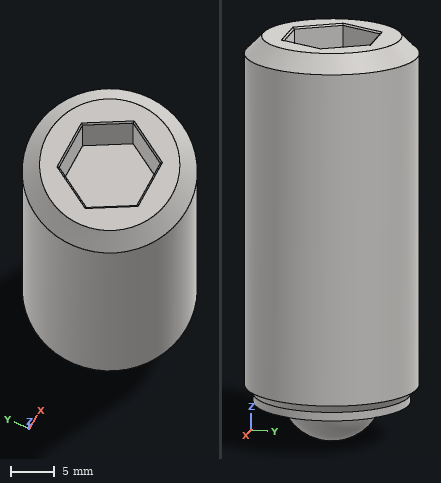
import cadquery as cq
import math


body_diameter = 20.0
body_radius = body_diameter / 2
top_chamfer = 2.0

collar_diameter = 18.0
collar_radius = collar_diameter / 2
collar_height = 1.0

bottom_chamfer = body_radius - collar_radius

ball_diameter = 12.0
ball_radius = ball_diameter / 2
ball_protrusion = 4.5
ball_center_z = ball_radius - ball_protrusion

overall_length = 47.5
top_z = overall_length - ball_protrusion

socket_sides = 6
socket_across_flats = 10.0
socket_depth = 7.0
socket_chamfer = 0.2


def corner_to_corner(across_flats):
    """Corner-to-corner size of the socket hexagon."""
    return across_flats / math.cos(math.pi / socket_sides)


def make_body():
    """Turned body with a chamfer at each end and a collar at the ball end."""
    profile = (
        cq.Workplane("XZ")
        .moveTo(0, 0)
        .lineTo(collar_radius, 0)
        .lineTo(collar_radius, collar_height)
        .lineTo(body_radius, collar_height + bottom_chamfer)
        .lineTo(body_radius, top_z - top_chamfer)
        .lineTo(body_radius - top_chamfer, top_z)
        .lineTo(0, top_z)
        .close()
    )
    return profile.revolve(360, (0, 0, 0), (0, 1, 0))


def make_ball():
    """Ball held in the body, standing out below the collar."""
    return cq.Workplane("XY").sphere(ball_radius).translate((0, 0, ball_center_z))


def make_socket():
    """Hexagonal socket cutter with a chamfered mouth; two corners lie on the X axis."""
    inner_size = corner_to_corner(socket_across_flats)
    mouth_size = corner_to_corner(socket_across_flats + 2 * socket_chamfer)
    recess = (
        cq.Workplane("XY")
        .workplane(offset=top_z)
        .polygon(socket_sides, inner_size)
        .extrude(-socket_depth)
    )
    mouth = (
        cq.Workplane("XY")
        .workplane(offset=top_z)
        .polygon(socket_sides, mouth_size)
        .workplane(offset=-socket_chamfer)
        .polygon(socket_sides, inner_size)
        .loft(ruled=True)
    )
    return recess.union(mouth)


result = make_body().union(make_ball()).cut(make_socket())